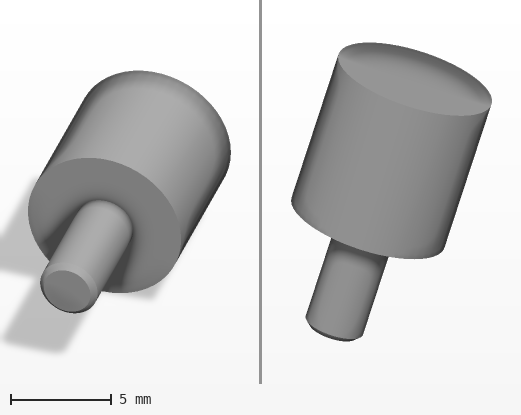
import cadquery as cq

overall_length = 14.0
stud_length = 6.0
buffer_length = overall_length - stud_length
buffer_diameter = buffer_length

stud_diameter = 3.0
tip_chamfer = 0.28
head_diameter = 2 * stud_diameter
head_thickness = 1.0


def cylinder_along_y(diameter, start_y, length):
    """Solid cylinder on the Y axis, running from start_y toward +Y."""
    return cq.Workplane("XZ").workplane(offset=-start_y).circle(diameter / 2).extrude(-length)


def make_buffer():
    """Buffer cylinder with a recess for the stud head in its -Y face."""
    block = cylinder_along_y(buffer_diameter, 0, buffer_length)
    head_recess = cylinder_along_y(head_diameter, 0, head_thickness)
    return block.cut(head_recess)


def make_stud():
    """Chamfered stud with a round head that sits flush in the buffer."""
    shank = cylinder_along_y(stud_diameter, -stud_length, stud_length)
    shank = shank.faces("<Y").chamfer(tip_chamfer)
    head = cylinder_along_y(head_diameter, 0, head_thickness)
    return shank.union(head)


buffer = make_buffer()
stud = make_stud()

result = cq.Compound.makeCompound([buffer.val(), stud.val()])